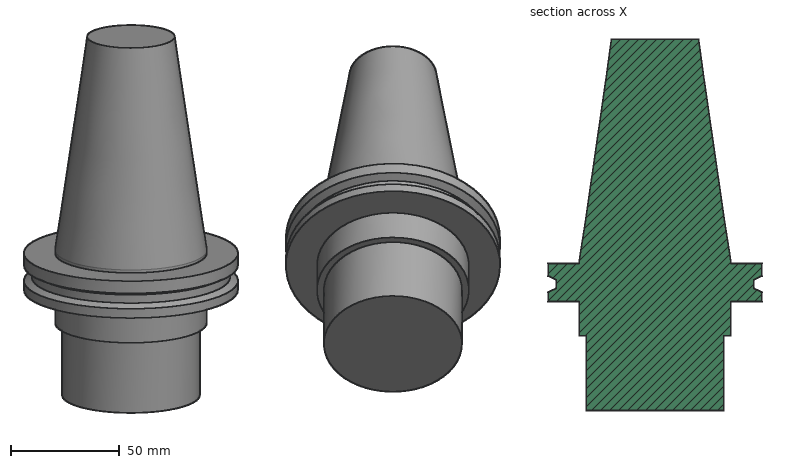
import cadquery as cq

nose_diameter = 63.5
collar_diameter = 69.8
flange_diameter = 98.5
groove_diameter = 91.3
taper_small_diameter = 40.3

collar_bottom = 34.3
flange_bottom = 50.0
flange_top = 67.5
taper_start = 69.1
total_height = 170.6

groove_floor_bottom = 56.1
groove_floor_top = 60.0
groove_wall_rise = 1.7

nose_radius = nose_diameter / 2
collar_radius = collar_diameter / 2
flange_radius = flange_diameter / 2
groove_radius = groove_diameter / 2

profile = [
    (0, 0),
    (nose_radius, 0),
    (nose_radius, collar_bottom),
    (collar_radius, collar_bottom),
    (collar_radius, flange_bottom),
    (flange_radius, flange_bottom),
    (flange_radius, groove_floor_bottom - groove_wall_rise),
    (groove_radius, groove_floor_bottom),
    (groove_radius, groove_floor_top),
    (flange_radius, groove_floor_top + groove_wall_rise),
    (flange_radius, flange_top),
    (collar_radius, flange_top),
    (collar_radius, taper_start),
    (taper_small_diameter / 2, total_height),
    (0, total_height),
]

result = cq.Workplane("XZ").polyline(profile).close().revolve(360, (0, 0, 0), (0, 1, 0))